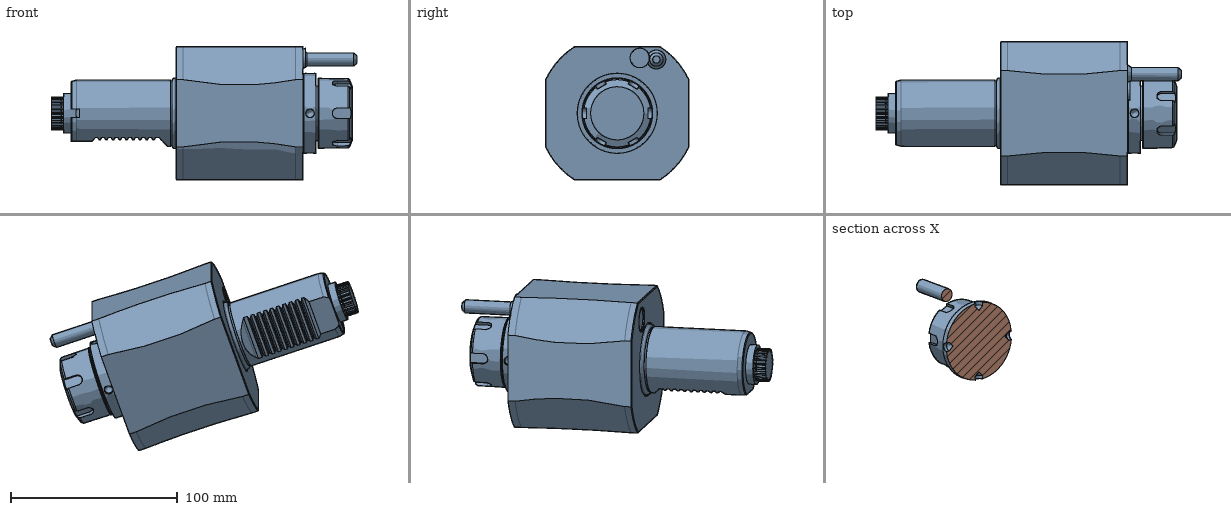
import cadquery as cq
import math


housing_length = 76.3
housing_width = 86.0
housing_height = 80.0
corner_radius = 47.5
waist_radius = 46.2
corner_band = 4.4
housing_chamfer = 0.5

shank_radius = 20.0
shank_length = 62.9
shank_lead_length = 3.3
shank_lead_depth = 0.7
shank_edge_chamfer = 0.5
collar_radius = 21.3
collar_length = 2.2
collar_round = 1.7
groove_radius = 19.5
groove_width = 1.1
clearance_radius = 22.2
clearance_depth = 0.7

flat_z = -16.9
rack_root_z = -14.7
rack_tip_z = -16.0
rack_start = -50.5
rack_end = -8.8
tooth_count = 9
tooth_pitch = 4.0
first_tooth_x = -45.7
tooth_root_width = 2.4
tooth_tip_width = 0.7
half_tooth_width = 1.1

boss_radius = 12.0
boss_length = 4.4
spline_radius = 9.9
spline_root_radius = 8.8
spline_length = 7.3
spline_teeth = 24
spline_tip_share = 0.5
spline_foot_share = 0.9
ring_groove_radius = 9.7
ring_groove_width = 0.4
ring_groove_x = -69.0

slot_width = 5.1
slot_length = 5.1
key_length = 2.2
key_top_radius = 15.4
key_chamfer = 1.0

cap_radius = 24.0
cap_length = 7.7
cap_chamfer = 0.5
spanner_hole_count = 4
spanner_hole_radius = 2.5
spanner_hole_depth = 2.2
spanner_hole_x = 80.5
neck_radius = 16.5
neck_length = 1.3

nut_radius = 20.9
nut_back_radius = 21.0
nut_rim_radius = 21.3
nut_rim_width = 0.7
nut_rim_chamfer = 0.4
nut_length = 20.7
nut_shoulder_radius = 20.2
nut_face_radius = 16.0
nut_nose_length = 1.7
nut_edge_length = 1.1
nut_slot_count = 6
nut_slot_width = 6.2
nut_slot_length = 12.1
nut_slot_floor = 18.5

pin_y = 23.5
pin_z = 32.3
pin_radius = 4.0
pin_length = 32.5
pin_tip_radius = 2.2
pin_tip_length = 2.0
pin_foot_radius = 5.7
pin_foot_height = 2.4

button_y = 13.5
button_z = 33.2
button_radius = 5.9
button_base_radius = 5.3
button_height = 1.7

recess_y = 16.0
recess_z = 27.7
recess_radius = 7.5
recess_depth = 1.1
recess_chamfer = 0.4

shank_face = -shank_length
boss_face = shank_face - boss_length
spline_face = boss_face - spline_length
cap_end = housing_length + cap_length
nut_start = cap_end + neck_length
nut_end = nut_start + nut_length
overlap = 1.8


def turned(points, y=0.0, z=0.0):
    """Revolve an (x, radius) outline about an axis parallel to X."""
    outline = cq.Workplane("XY").polyline(points).close()
    return outline.revolve(360, (0, 0, 0), (1, 0, 0)).translate((0, y, z))


def cylinder(x_start, x_end, radius, y=0.0, z=0.0):
    disc = cq.Workplane("YZ", origin=(x_start, y, z)).circle(radius)
    return disc.extrude(x_end - x_start)


def box(x_start, x_end, y_start, y_end, width_z):
    size = (x_end - x_start, y_end - y_start, width_z)
    middle = ((x_start + x_end) / 2, (y_start + y_end) / 2, 0)
    return cq.Workplane("XY").box(*size).translate(middle)


def make_housing():
    block = cq.Workplane("YZ").rect(housing_width, housing_height).extrude(housing_length)
    waisted_round = (
        cq.Workplane("XY")
        .lineTo(0, corner_radius)
        .lineTo(corner_band, corner_radius)
        .threePointArc(
            (housing_length / 2, waist_radius),
            (housing_length - corner_band, corner_radius),
        )
        .lineTo(housing_length, corner_radius)
        .lineTo(housing_length, 0)
        .close()
        .revolve(360, (0, 0, 0), (1, 0, 0))
    )
    housing = block.intersect(waisted_round).faces("<X").chamfer(housing_chamfer)
    housing = housing.cut(cylinder(0, clearance_depth, clearance_radius))
    recess = turned([
        (0, 0),
        (0, recess_radius),
        (recess_chamfer, recess_radius - recess_chamfer),
        (recess_depth, recess_radius - recess_chamfer),
        (recess_depth, 0),
    ], recess_y, recess_z)
    return housing.cut(recess)


def make_rack_cutter():
    """Everything below the flat and the teeth, closed by a 45 degree run-out."""
    below = -shank_radius - overlap
    outline = [(shank_face, below), (shank_face, flat_z), (rack_start, flat_z)]
    outline.append((rack_start + rack_root_z - flat_z, rack_root_z))
    for index in range(tooth_count):
        tooth_x = first_tooth_x + index * tooth_pitch
        outline += [
            (tooth_x - tooth_root_width / 2, rack_root_z),
            (tooth_x - tooth_tip_width / 2, rack_tip_z),
            (tooth_x + tooth_tip_width / 2, rack_tip_z),
            (tooth_x + tooth_root_width / 2, rack_root_z),
        ]
    outline += [
        (rack_end - half_tooth_width, rack_root_z),
        (rack_end, rack_tip_z),
        (rack_end + rack_tip_z - below, below),
    ]
    return cq.Workplane("XZ").polyline(outline).close().extrude(shank_radius, both=True)


def make_shank():
    lead_radius = shank_radius - shank_lead_depth
    groove_start = -collar_length - groove_width
    shank = turned([
        (shank_face, 0),
        (shank_face, lead_radius - shank_edge_chamfer),
        (shank_face + shank_edge_chamfer, lead_radius),
        (shank_face + shank_lead_length, shank_radius),
        (groove_start, shank_radius),
        (groove_start, groove_radius),
        (overlap, groove_radius),
        (overlap, 0),
    ])
    slot_end = shank_face + slot_length
    slot_floor = boss_radius - overlap
    slot = box(shank_face, slot_end, -shank_radius, -slot_floor, slot_width)
    key = box(slot_end - key_length, slot_end, -key_top_radius, -slot_floor, slot_width)
    key = key.faces("<X").edges("|Y").chamfer(key_chamfer)
    collar = cylinder(-collar_length, overlap, collar_radius).faces("<X").edges().fillet(collar_round)
    return shank.cut(make_rack_cutter()).cut(slot).union(key).union(collar)


def make_drive_end():
    boss = cylinder(boss_face, shank_face + slot_length + overlap, boss_radius)
    step = 2 * math.pi / spline_teeth
    outline = []
    for index in range(spline_teeth):
        for share, radius in (
            (-spline_foot_share, spline_root_radius),
            (-spline_tip_share, spline_radius),
            (spline_tip_share, spline_radius),
            (spline_foot_share, spline_root_radius),
        ):
            angle = (index + (1 + share) / 2) * step
            outline.append((radius * math.cos(angle), radius * math.sin(angle)))
    spline = cq.Workplane("YZ", origin=(spline_face, 0, 0)).polyline(outline).close()
    groove_end = ring_groove_x + ring_groove_width
    ring = cylinder(ring_groove_x, groove_end, spline_radius + overlap)
    ring = ring.cut(cylinder(ring_groove_x, groove_end, ring_groove_radius))
    return boss.union(spline.extrude(spline_length + overlap).cut(ring))


def make_cap():
    cap = turned([
        (housing_length - overlap, 0),
        (housing_length - overlap, cap_radius - cap_chamfer),
        (housing_length, cap_radius - cap_chamfer),
        (housing_length + cap_chamfer, cap_radius),
        (cap_end, cap_radius),
        (cap_end, neck_radius),
        (nut_start + overlap, neck_radius),
        (nut_start + overlap, 0),
    ])
    hole_floor = cap_radius - spanner_hole_depth
    drill = (
        cq.Workplane("XZ")
        .polyline([
            (0, hole_floor - spanner_hole_radius),
            (spanner_hole_radius, hole_floor),
            (spanner_hole_radius, cap_radius + overlap),
            (0, cap_radius + overlap),
        ])
        .close()
        .revolve(360, (0, 0, 0), (0, 1, 0))
        .translate((spanner_hole_x, 0, 0))
    )
    for index in range(spanner_hole_count):
        cap = cap.cut(drill.rotate((0, 0, 0), (1, 0, 0), index * 360 / spanner_hole_count))
    return cap


def make_nut():
    nose_start = nut_end - nut_nose_length
    nut = turned([
        (nut_start, 0),
        (nut_start, nut_rim_radius - nut_rim_chamfer),
        (nut_start + nut_rim_chamfer, nut_rim_radius),
        (nut_start + nut_rim_width, nut_rim_radius),
        (nut_start + nut_rim_width, nut_back_radius),
        (nose_start - nut_edge_length, nut_radius),
        (nose_start, nut_shoulder_radius),
        (nut_end, nut_face_radius),
        (nut_end, 0),
    ])
    slot_start = nut_end - nut_slot_length
    slot_middle = slot_start + nut_slot_length / 2 + nut_slot_width / 2
    slot = (
        cq.Workplane("XZ", origin=(slot_middle, -nut_slot_floor, 0))
        .slot2D(nut_slot_length + nut_slot_width, nut_slot_width)
        .extrude(nut_rim_radius - nut_slot_floor + overlap)
    )
    for index in range(nut_slot_count):
        nut = nut.cut(slot.rotate((0, 0, 0), (1, 0, 0), index * 360 / nut_slot_count))
    return nut


def make_pin():
    pin_end = housing_length + pin_length
    foot_end = housing_length + pin_foot_height
    return turned([
        (housing_length - overlap, 0),
        (housing_length - overlap, pin_foot_radius),
        (housing_length, pin_foot_radius),
        (foot_end, pin_radius),
        (pin_end - pin_tip_length, pin_radius),
        (pin_end, pin_tip_radius),
        (pin_end, 0),
    ], pin_y, pin_z)


def make_button():
    button_end = housing_length + button_height
    return turned([
        (housing_length - overlap, 0),
        (housing_length - overlap, button_base_radius),
        (housing_length, button_base_radius),
        (button_end, button_radius),
        (button_end, 0),
    ], button_y, button_z)


result = make_housing()
for body in (make_shank(), make_drive_end(), make_cap(), make_nut(), make_pin(), make_button()):
    result = result.union(body)